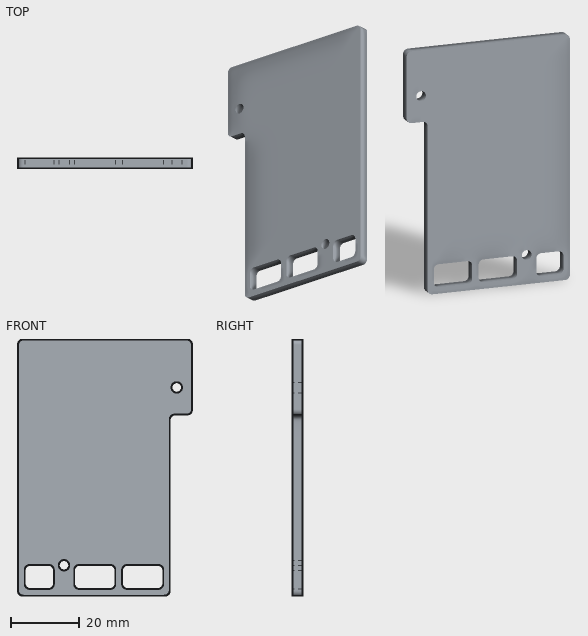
import cadquery as cq

height = 75.0
full_width = 51.0
thickness = 3.0
body_width = 44.5
tab_height = 22.0
corner_radius = 1.5

window_gap = 2.0
window_height = 7.0
small_window_width = 8.5
large_window_width = 12.0
middle_window_left = 16.5
right_window_left = middle_window_left + large_window_width + window_gap
windows = [
    (window_gap, small_window_width),
    (middle_window_left, large_window_width),
    (right_window_left, large_window_width),
]

hole_diameter = 3.0
lower_hole = (13.5, 8.9)
tab_hole_from_side = 4.5
tab_hole_from_top = 14.0
tab_hole = (full_width - tab_hole_from_side, height - tab_hole_from_top)


def front_plane():
    """Sketch plane on the front face, with local x and y along X and Z."""
    return cq.Workplane("XZ")


def make_plate():
    """Plate with a tab at the upper right and every corner rounded."""
    tab_bottom = height - tab_height
    outline = [
        (0, 0),
        (body_width, 0),
        (body_width, tab_bottom),
        (full_width, tab_bottom),
        (full_width, height),
        (0, height),
    ]
    plate = front_plane().polyline(outline).close().extrude(-thickness)
    return plate.edges("|Y").fillet(corner_radius)


def make_window(left, width):
    """Rounded rectangular cutter standing on the common window baseline."""
    center = (left + width / 2, window_gap + window_height / 2)
    cutter = front_plane().center(*center).rect(width, window_height).extrude(-thickness)
    return cutter.edges("|Y").fillet(corner_radius)


def make_holes():
    """Cutters for the two through holes."""
    return front_plane().pushPoints([lower_hole, tab_hole]).circle(hole_diameter / 2).extrude(-thickness)


result = make_plate().cut(make_holes())
for left, width in windows:
    result = result.cut(make_window(left, width))